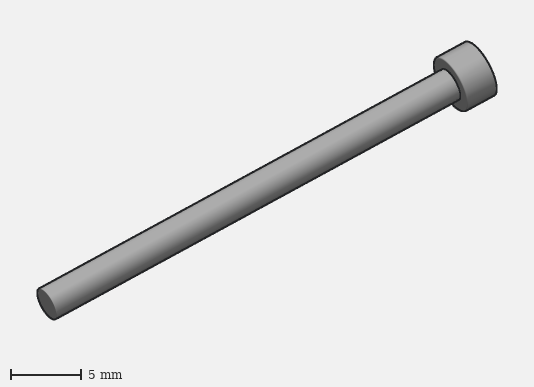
import cadquery as cq

total_length = 37.5
head_diameter = 4.4
head_length = 2.5
shank_diameter = 2.5
head_edge_radius = 0.1
tip_edge_radius = 0.055

shank_length = total_length - head_length


def rounded_cylinder(diameter, start_y, length, edge_radius):
    """Cylinder on the Y axis from start_y towards +Y, with its -Y edge rounded."""
    base = cq.Workplane("XZ", origin=(0, start_y, 0))
    cylinder = base.circle(diameter / 2).extrude(-length)
    return cylinder.faces("<Y").edges().fillet(edge_radius)


head = rounded_cylinder(head_diameter, shank_length, head_length, head_edge_radius)

shank = rounded_cylinder(shank_diameter, 0, shank_length, tip_edge_radius)

result = head.union(shank)